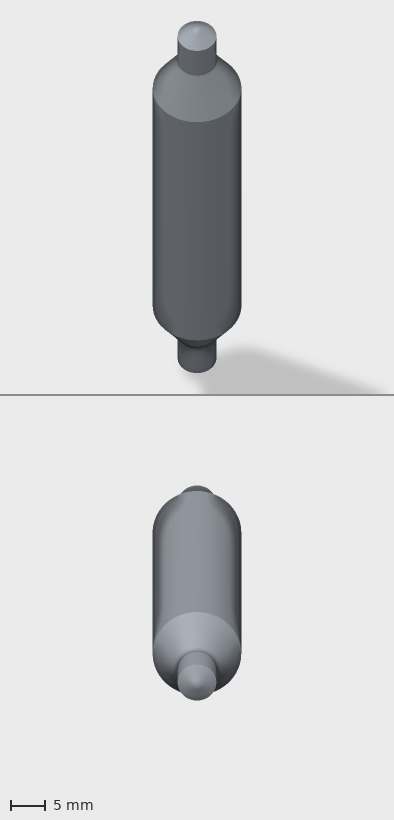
import cadquery as cq
import math

total_length = 76.2
body_radius = 12.7 / 2
pilot_diameter = 5.6
pilot_radius = pilot_diameter / 2
pilot_length = pilot_diameter
point_angle = 118.0
countersink_angle = 60.0

point_height = pilot_radius / math.tan(math.radians(point_angle / 2))
countersink_height = (body_radius - pilot_radius) / math.tan(math.radians(countersink_angle / 2))

tip_z = total_length / 2
pilot_top_z = tip_z - point_height
pilot_base_z = pilot_top_z - pilot_length
body_end_z = pilot_base_z - countersink_height

upper_profile = [
    (body_radius, body_end_z),
    (pilot_radius, pilot_base_z),
    (pilot_radius, pilot_top_z),
    (0, tip_z),
]
lower_profile = [(radius, -z) for radius, z in reversed(upper_profile)]

result = (
    cq.Workplane("XZ")
    .polyline(lower_profile + upper_profile)
    .close()
    .revolve(360, (0, 0), (0, 1))
)